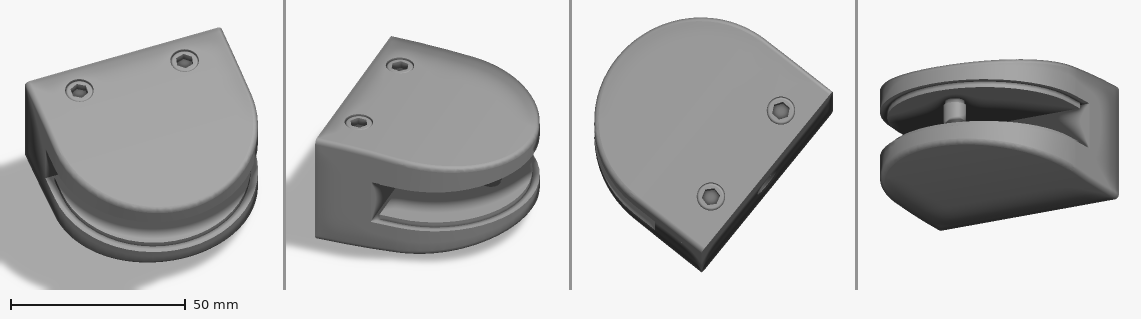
import cadquery as cq
import math

width = 60.0
length = 55.0
height = 34.0
plan_radius = width / 2
arc_center_x = length - plan_radius

crown_drop = 5.15
crown_fillet = 1.45

slot_height = 13.55
slot_start_x = 17.1

pad_thickness = 1.7
pad_margin = 2.1
pad_start_x = 18.95

back_hole_diameter = 9.0

screw_x = 8.05
screw_spacing = 32.05
screw_pair_y = -0.3
recess_diameter = 8.15
head_diameter = 7.9
head_fillet = 0.65
head_depth = 0.35
hex_sides = 6
hex_corner_diameter = 5.3
hex_depth = 2.3
positive_y_hex_turn = -13.7
negative_y_hex_turn = -3.5

pin_x = 42.2
pin_diameter = 6.5
pin_body_height = 7.7
pin_end_diameter = 5.65

half_height = height / 2
half_slot = slot_height / 2
pad_gap = slot_height - 2 * pad_thickness


def d_plate(start_x, half_width, bottom_z, thickness):
    """D-shaped plate whose round end is centred on the clamp's plan arc."""
    return (
        cq.Workplane("XY", origin=(0, 0, bottom_z))
        .moveTo(start_x, -half_width)
        .lineTo(arc_center_x, -half_width)
        .threePointArc((arc_center_x + half_width, 0), (arc_center_x, half_width))
        .lineTo(start_x, half_width)
        .close()
        .extrude(thickness)
    )


def crowned_block():
    """D-shaped block from the top of the slot to the crowned top face, with a rounded rim."""
    crown_radius = (length**2 + crown_drop**2) / (2 * crown_drop)
    mid_x = length / 2
    mid_z = half_height - crown_radius + math.sqrt(crown_radius**2 - mid_x**2)
    side_profile = (
        cq.Workplane("XZ", origin=(0, width / 2, 0))
        .moveTo(0, half_slot)
        .lineTo(length, half_slot)
        .lineTo(length, half_height - crown_drop)
        .threePointArc((mid_x, mid_z), (0, half_height))
        .close()
        .extrude(width)
    )
    block = d_plate(0, plan_radius, half_slot, half_height - half_slot).intersect(side_profile)
    back_edge = cq.selectors.NearestToPointSelector((0, 0, half_height))
    rim = block.faces(">Z").edges().objects
    back = block.edges(back_edge).val()
    return block.newObject([edge for edge in rim if not edge.isSame(back)]).fillet(crown_fillet)


def padded_jaw():
    """Upper jaw block with its pad on the slot side."""
    pad = d_plate(pad_start_x, plan_radius - pad_margin, half_slot - pad_thickness, pad_thickness)
    return crowned_block().union(pad)


def add_screw_head(jaw, y, hex_turn):
    """Sink a round-edged socket screw head into the top of the jaw."""
    head_top = half_height - head_depth
    recess_floor = head_top - head_fillet
    recess = (
        cq.Workplane("XY", origin=(screw_x, y, recess_floor))
        .circle(recess_diameter / 2)
        .extrude(half_height - recess_floor)
    )
    head = (
        cq.Workplane("XY", origin=(screw_x, y, head_top - hex_depth))
        .circle(head_diameter / 2)
        .extrude(hex_depth)
        .faces(">Z")
        .edges()
        .fillet(head_fillet)
    )
    socket = (
        cq.Workplane("XY", origin=(screw_x, y, head_top - hex_depth))
        .transformed(rotate=(0, 0, hex_turn))
        .polygon(hex_sides, hex_corner_diameter)
        .extrude(hex_depth)
    )
    return jaw.cut(recess).union(head).cut(socket)


def build_upper_jaw():
    jaw = padded_jaw()
    for side, hex_turn in ((1, positive_y_hex_turn), (-1, negative_y_hex_turn)):
        jaw = add_screw_head(jaw, screw_pair_y + side * screw_spacing / 2, hex_turn)
    return jaw


def build_lower_jaw():
    """Mirror image of the padded jaw, joined to the back wall that closes the slot."""
    back_wall = cq.Workplane("XY").box(
        slot_start_x, width, slot_height, centered=(False, True, True)
    )
    back_hole = cq.Workplane("YZ").circle(back_hole_diameter / 2).extrude(slot_start_x)
    return padded_jaw().mirror("XY").union(back_wall).cut(back_hole)


def build_pin():
    """Stepped pin with a slimmer end against each pad."""
    core = (
        cq.Workplane("XY", origin=(pin_x, 0, -pad_gap / 2))
        .circle(pin_end_diameter / 2)
        .extrude(pad_gap)
    )
    body = (
        cq.Workplane("XY", origin=(pin_x, 0, -pin_body_height / 2))
        .circle(pin_diameter / 2)
        .extrude(pin_body_height)
    )
    return core.union(body)


upper_jaw = build_upper_jaw()
lower_jaw = build_lower_jaw()
pin = build_pin()

result = cq.Compound.makeCompound([upper_jaw.val(), lower_jaw.val(), pin.val()])